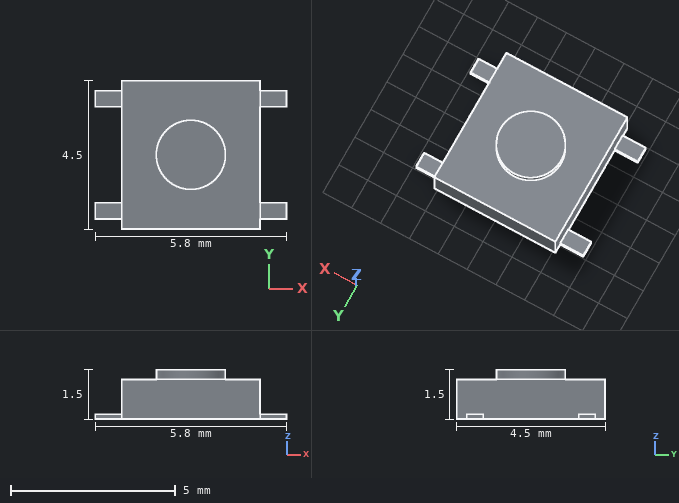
import cadquery as cq

overall_length = 5.8
overall_height = 1.5

body_length = 4.2
body_width = 4.5
body_height = 1.2

button_diameter = 2.1
button_height = overall_height - body_height

lead_width = 0.5
lead_thickness = 0.15
lead_pitch = 3.4
lead_length = (overall_length - body_length) / 2


def make_body():
    return cq.Workplane("XY").box(body_length, body_width, body_height, centered=(True, True, False))


def make_button():
    return cq.Workplane("XY").workplane(offset=body_height).circle(button_diameter / 2).extrude(button_height)


def make_lead(x_side, y_side):
    """One lead sticking out of the housing; each side is -1 or +1."""
    lead_x = x_side * (body_length + lead_length) / 2
    lead_y = y_side * lead_pitch / 2
    lead = cq.Workplane("XY").box(lead_length, lead_width, lead_thickness, centered=(True, True, False))
    return lead.translate((lead_x, lead_y, 0))


result = make_body().union(make_button())
for x_side in (-1, 1):
    for y_side in (-1, 1):
        result = result.union(make_lead(x_side, y_side))